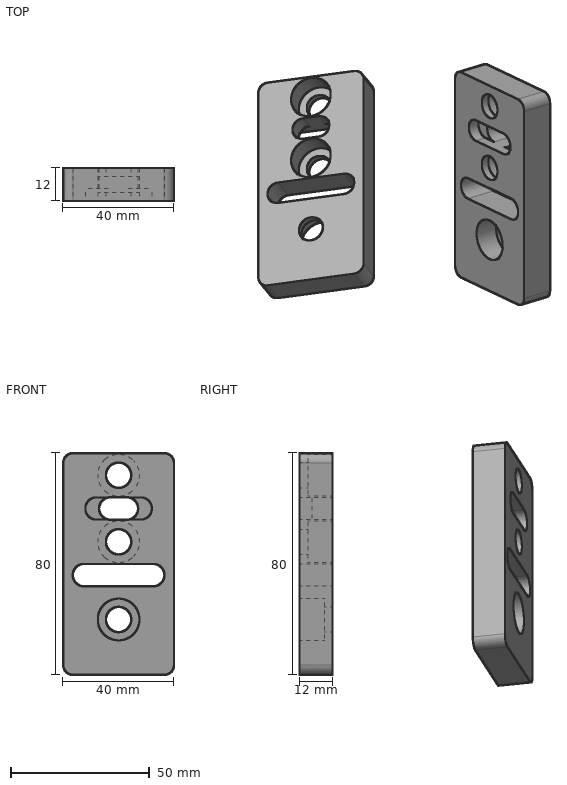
import cadquery as cq

width = 40.0
thickness = 12.0
height = 80.0
corner_radius = 3.6

hole_diameter = 9.0
rear_counterbored_heights = (32.0, 8.0)

slot_height = 8.0
stepped_slot_z = 20.0
stepped_slot_length = 24.0
stepped_slot_depth = 4.5
inner_slot_length = 14.0
long_slot_z = -4.0
long_slot_length = 33.0

front_counterbored_z = -20.0
counterbore_diameter = 15.0
counterbore_depth = 9.0


def front_plane(z):
    """Workplane on the front face (-Y) at height z, with its normal pointing out."""
    return cq.Workplane("XZ", origin=(0, -thickness / 2, z))


def round_cut(z, diameter, depth):
    return front_plane(z).circle(diameter / 2).extrude(-depth)


def rear_counterbore_cut(z):
    rear_plane = cq.Workplane("XZ", origin=(0, thickness / 2, z))
    return rear_plane.circle(counterbore_diameter / 2).extrude(counterbore_depth)


def slot_cut(z, length, depth):
    return front_plane(z).slot2D(length, slot_height).extrude(-depth)


plate = cq.Workplane("XY").box(width, thickness, height).edges("|Y").fillet(corner_radius)

for hole_z in rear_counterbored_heights:
    plate = plate.cut(round_cut(hole_z, hole_diameter, thickness))
    plate = plate.cut(rear_counterbore_cut(hole_z))

plate = plate.cut(slot_cut(stepped_slot_z, stepped_slot_length, stepped_slot_depth))
plate = plate.cut(slot_cut(stepped_slot_z, inner_slot_length, thickness))

plate = plate.cut(slot_cut(long_slot_z, long_slot_length, thickness))

plate = plate.cut(round_cut(front_counterbored_z, counterbore_diameter, counterbore_depth))
plate = plate.cut(round_cut(front_counterbored_z, hole_diameter, thickness))

result = plate